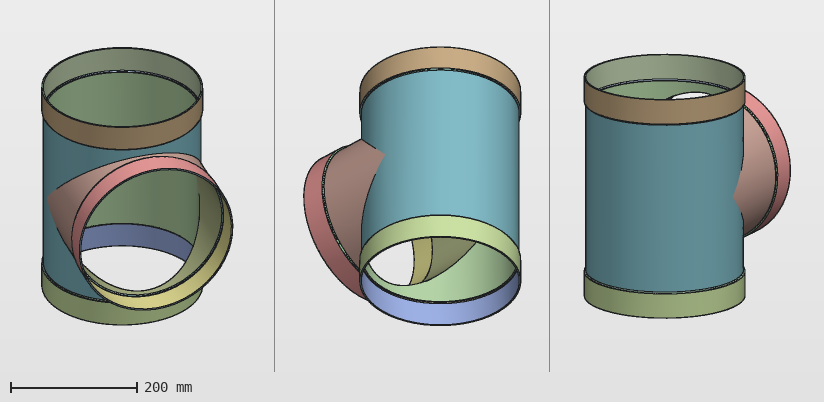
import cadquery as cq

height = 360.0
collar_outer_diameter = 255.0
pipe_outer_diameter = 250.0
collar_inner_diameter = pipe_outer_diameter
pipe_inner_diameter = 245.0
collar_length = 40.0
taper_length = 2.5
overall_x = 304.5

half_height = height / 2
branch_reach = overall_x - collar_outer_diameter / 2


def arm_outline(length, pipe_diameter, collar_diameter):
    """(radius, axial distance) points of an arm, from its taper to its open end."""
    pipe_radius = pipe_diameter / 2
    collar_radius = collar_diameter / 2
    collar_start = length - collar_length
    return [
        (pipe_radius, collar_start - taper_length),
        (collar_radius, collar_start),
        (collar_radius, length),
        (0, length),
    ]


def revolve_about_z(outline):
    return cq.Workplane("XZ").polyline(outline).close().revolve(360, (0, 0, 0), (0, 1, 0))


def solid_run(pipe_diameter, collar_diameter):
    """Vertical pipe with a collar at the top and bottom."""
    upper = arm_outline(half_height, pipe_diameter, collar_diameter)
    lower = [(radius, -z) for radius, z in reversed(upper)]
    return revolve_about_z(lower + upper)


def solid_branch(pipe_diameter, collar_diameter):
    """Pipe from the tee centre along +X, with a collar at its open end."""
    base = [(0, 0), (pipe_diameter / 2, 0)]
    arm = revolve_about_z(base + arm_outline(branch_reach, pipe_diameter, collar_diameter))
    return arm.rotate((0, 0, 0), (0, 1, 0), 90)


def solid_tee(pipe_diameter, collar_diameter):
    run = solid_run(pipe_diameter, collar_diameter)
    return run.union(solid_branch(pipe_diameter, collar_diameter))


outer_body = solid_tee(pipe_outer_diameter, collar_outer_diameter)
flow_passage = solid_tee(pipe_inner_diameter, collar_inner_diameter)
result = outer_body.cut(flow_passage)